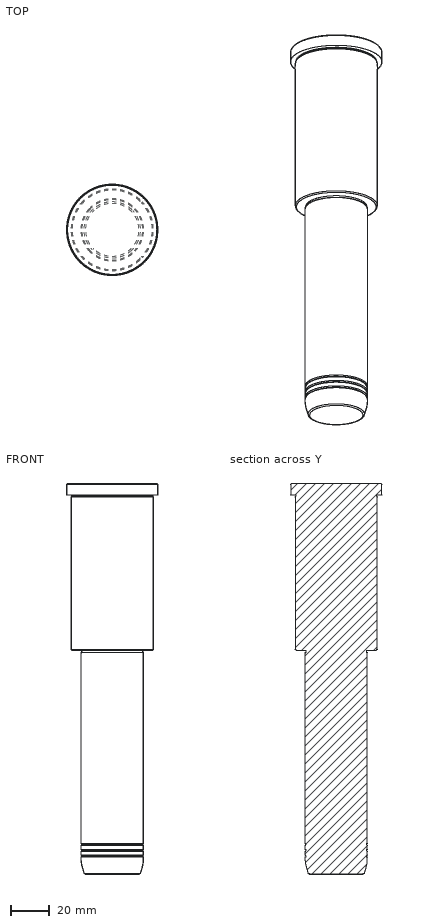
import cadquery as cq

total_length = 201.0
head_radius = 23.5
head_height = 6.0
head_chamfer = 0.6
body_radius = 21.1
body_bottom = 115.0
body_chamfer = 0.6
shank_radius = 16.0

tip_height = 7.0
tip_radius = 14.3
tip_curve_radius = 24.1
tip_chamfer = 0.6

relief_width = 1.0
relief_depth = 0.3

relief_bevel = 0.6

ring_count = 3
ring_pitch = 3.0
lowest_ring_bottom = 8.8
ring_width = 1.0
ring_depth = 0.5


def cylinder(radius, bottom, top):
    """Solid cylinder on the pin axis between two heights."""
    return cq.Workplane("XY").workplane(offset=bottom).circle(radius).extrude(top - bottom)


def groove(outer_radius, depth, bottom, width):
    """Ring-shaped cutter with a rectangular section."""
    return (
        cq.Workplane("XY")
        .workplane(offset=bottom)
        .circle(outer_radius + depth)
        .circle(outer_radius - depth)
        .extrude(width)
    )


def v_groove(outer_radius, depth, bottom, width):
    """Ring-shaped cutter with a triangular section, its point towards the axis."""
    return (
        cq.Workplane("XZ")
        .moveTo(outer_radius, bottom)
        .lineTo(outer_radius - depth, bottom + width / 2)
        .lineTo(outer_radius, bottom + width)
        .close()
        .revolve(360, (0, 0, 0), (0, 1, 0))
    )


def make_shank():
    """Shank with its rounded tip, revolved about the pin axis."""
    return (
        cq.Workplane("XZ")
        .lineTo(tip_radius, 0)
        .radiusArc((shank_radius, tip_height), -tip_curve_radius)
        .lineTo(shank_radius, body_bottom)
        .lineTo(0, body_bottom)
        .close()
        .revolve(360, (0, 0, 0), (0, 1, 0))
        .faces("<Z")
        .edges()
        .chamfer(tip_chamfer)
    )


head_bottom = total_length - head_height
body_top = head_bottom - (relief_width - relief_bevel)
head = cylinder(head_radius, head_bottom, total_length).faces(">Z").edges().chamfer(head_chamfer)
body = cylinder(body_radius, body_bottom, body_top)
body = body.faces("<Z").edges().chamfer(body_chamfer)
body = body.faces(">Z").edges().chamfer(relief_bevel, relief_depth)
neck = cylinder(body_radius - relief_depth, body_bottom + body_chamfer, head_bottom)
result = make_shank().union(body).union(neck).union(head)

result = result.cut(groove(shank_radius, relief_depth, body_bottom - relief_width, relief_width))

for ring in range(ring_count):
    ring_bottom = lowest_ring_bottom + ring * ring_pitch
    result = result.cut(v_groove(shank_radius, ring_depth, ring_bottom, ring_width))